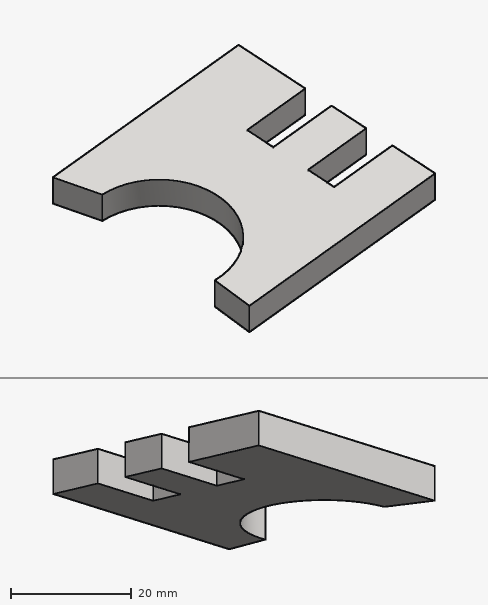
import cadquery as cq
import math

plate_width = 45.24
plate_height = 44.65
thickness = 6.0
tilt_angle = 1.3

slot_width = 6.0
slot_depth = 14.0
slot_gap = 8.0
first_slot_left = 15.38
slot_count = 2

arc_radius = 14.0
arc_center_x = 22.83
arc_center_y = 1.71
left_foot_inner_y = 2.64
right_foot_inner_y = 0.51


def arc_point(y, side):
    """Point of the round cutout at height y; side is -1 for left, +1 for right."""
    half_chord = math.sqrt(arc_radius**2 - (y - arc_center_y) ** 2)
    return (arc_center_x + side * half_chord, y)


def make_plate():
    """Plate with the round cutout and the sloping feet on both sides of it."""
    arc_top = (arc_center_x, arc_center_y + arc_radius)
    return (
        cq.Workplane("XY")
        .moveTo(0, 0)
        .lineTo(*arc_point(left_foot_inner_y, -1))
        .threePointArc(arc_top, arc_point(right_foot_inner_y, 1))
        .lineTo(plate_width, 0)
        .lineTo(plate_width, plate_height)
        .lineTo(0, plate_height)
        .close()
        .extrude(thickness)
    )


def make_slot(left_x):
    """Cutter for one slot whose left wall is at left_x."""
    return cq.Workplane("XY").box(slot_width, slot_depth, thickness, centered=False).translate(
        (left_x, plate_height - slot_depth, 0)
    )


plate = make_plate()
for index in range(slot_count):
    plate = plate.cut(make_slot(first_slot_left + index * (slot_width + slot_gap)))

result = plate.rotate((0, 0, 0), (0, 0, 1), tilt_angle)